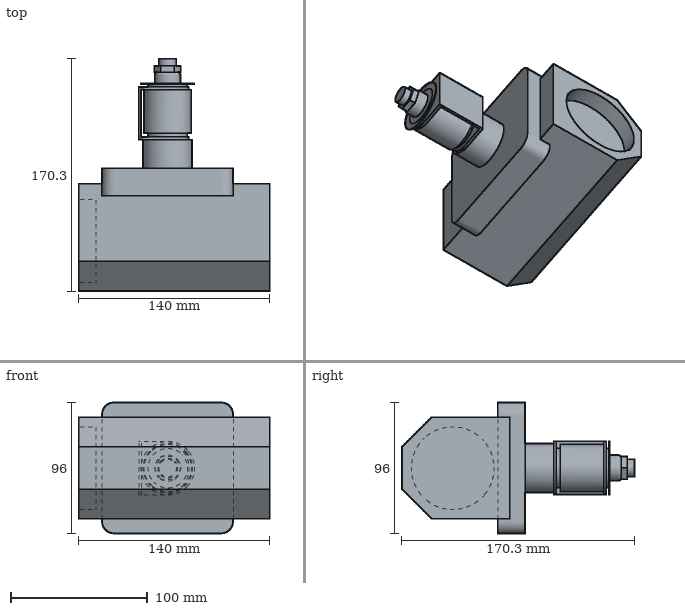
import cadquery as cq
import math

block_length = 140.0
block_depth = 78.8
block_height = 74.6
block_chamfer = 21.8
port_radius = 30.3
port_depth = 12.5
port_y = 37.0

valve_x = -5.0
flange_size = 96.0
flange_corner_radius = 8.9
flange_front = 70.0
flange_back = 90.1
flange_thickness = flange_back - flange_front

base_radius = 18.0
base_end = 111.0
neck_radius = 14.5
coil_radius = 17.4
coil_start = 115.8
coil_end = 147.7
washer_radius = 19.5
washer_start = 151.5
washer_end = 152.2
collar_radius = 9.5
collar_fillet = 2.2
nut_start = 160.5
nut_end = 165.0
nut_across_flats = 16.9
stud_radius = 6.5
stud_end = 170.3

bracket_reach = 21.1
bracket_half_width = 19.5
bracket_nose = 15.7
bracket_leg_thickness = 2.0
bracket_wall_thickness = 1.7


def make_flange():
    flange = cq.Workplane("XY").box(
        flange_size, flange_thickness, flange_size, centered=(True, False, True)
    )
    flange = flange.edges("|Y").fillet(flange_corner_radius)
    return flange.translate((valve_x, flange_front, 0))


def stem_plane(y):
    """Plane across the stem axis, facing +Y, with local x along +X."""
    return cq.Plane(origin=(valve_x, y, 0), xDir=(1, 0, 0), normal=(0, 1, 0))


def stem_step(radius, start, end):
    return cq.Workplane(stem_plane(start)).circle(radius).extrude(end - start)


def make_bracket_leg(start):
    """Flat leg, square on the wall side and arched on the other."""
    return (
        cq.Workplane(stem_plane(start))
        .moveTo(0, -bracket_half_width)
        .lineTo(-bracket_reach, -bracket_half_width)
        .lineTo(-bracket_reach, bracket_half_width)
        .lineTo(0, bracket_half_width)
        .threePointArc((bracket_nose, 0), (0, -bracket_half_width))
        .close()
        .extrude(bracket_leg_thickness)
    )


def make_bracket():
    bracket_end = coil_end + bracket_leg_thickness
    wall = cq.Workplane("XY").box(
        bracket_wall_thickness,
        bracket_end - base_end,
        2 * bracket_half_width,
        centered=(False, False, True),
    )
    wall = wall.translate((valve_x - bracket_reach, base_end, 0))
    for leg_start in (base_end, coil_end):
        wall = wall.union(make_bracket_leg(leg_start))
    return wall


def make_nut():
    across_corners = nut_across_flats / math.cos(math.pi / 6)
    return cq.Workplane(stem_plane(nut_start)).polygon(6, across_corners).extrude(nut_end - nut_start)


def make_valve():
    collar = stem_step(collar_radius, washer_end, nut_start).faces(">Y").edges().fillet(collar_fillet)
    parts = [
        stem_step(base_radius, flange_back, base_end),
        stem_step(neck_radius, base_end, washer_start),
        stem_step(coil_radius, coil_start, coil_end),
        make_bracket(),
        stem_step(washer_radius, washer_start, washer_end),
        collar,
        make_nut(),
        stem_step(stud_radius, nut_end, stud_end),
    ]
    valve = make_flange()
    for part in parts:
        valve = valve.union(part)
    return valve


def make_block():
    block = cq.Workplane("XY").box(
        block_length, block_depth, block_height, centered=(True, False, True)
    )
    block = block.faces("<Y").edges("|X").chamfer(block_chamfer)
    port = (
        cq.Workplane("YZ", origin=(-block_length / 2, 0, 0))
        .center(port_y, 0)
        .circle(port_radius)
        .extrude(port_depth)
    )
    return block.cut(port).cut(make_flange())


block = make_block()
valve = make_valve()

result = cq.Compound.makeCompound([block.val(), valve.val()])